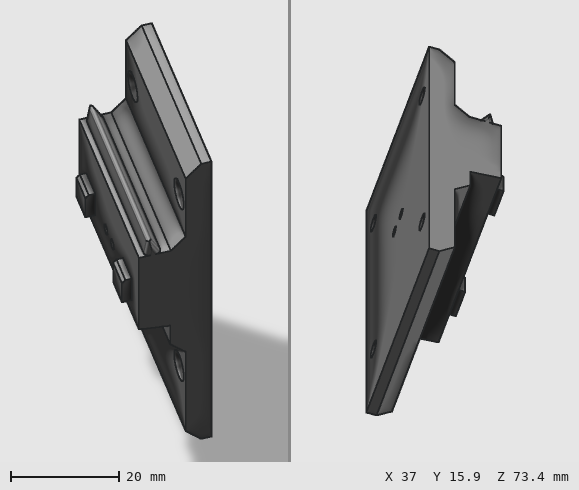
import cadquery as cq

width = 37.0
height = 73.4
plate_depth = 5.0
edge_chamfer = 3.0

block_depth = 14.0
block_top_z = 52.05
block_bottom_front_z = 33.0
block_bottom_rear_z = 32.1
upper_slope_rise = 2.9
step_depth = 8.0
step_bottom_z = 27.2

lip_rear_depth = 9.6
lip_front_depth = 12.85
lip_apex_depth = 12.1
lip_apex_z = 56.5
lip_end_radius = 1.0
lip_tip_radius = 0.5

tab_width = 5.5
tab_offset_x = 11.34
tab_bottom_z = 36.4
tab_top_z = 42.15
tab_depth = 15.9
tab_chamfer = 0.65

screw_diameter = 3.3
countersink_diameter = 5.95
countersink_angle = 90
screw_spacing_x = 28.6
screw_spacing_z = 45.8
screw_center_z = 39.3
pin_diameter = 2.0
pin_spacing = 4.0
pin_z = 39.2


def across(points, length, center_x=0):
    """Extrude a (depth, height) outline along X, centred on center_x."""
    outline = [(-depth, z) for depth, z in points]
    return (
        cq.Workplane("YZ", origin=(center_x, 0, 0))
        .polyline(outline)
        .close()
        .extrude(length / 2, both=True)
    )


def make_body():
    return across(
        [
            (0, 0),
            (plate_depth - edge_chamfer, 0),
            (plate_depth, edge_chamfer),
            (plate_depth, step_bottom_z - (step_depth - plate_depth)),
            (step_depth, step_bottom_z),
            (step_depth, block_bottom_rear_z),
            (block_depth, block_bottom_front_z),
            (block_depth, block_top_z),
            (plate_depth + upper_slope_rise, block_top_z),
            (plate_depth, block_top_z + upper_slope_rise),
            (plate_depth, height - edge_chamfer),
            (plate_depth - edge_chamfer, height),
            (0, height),
        ],
        width,
    )


def make_lip():
    rear_base = (lip_rear_depth, block_top_z)
    front_base = (lip_front_depth, block_top_z)
    apex = (lip_apex_depth, lip_apex_z)
    lip = across([rear_base, front_base, apex], width)
    lip = lip.edges(">Z").fillet(lip_tip_radius)

    rear_prism = across([rear_base, (block_depth, block_top_z), (block_depth, lip_apex_z), apex], width)
    rear_prism = rear_prism.faces(">Y").edges("<X or >X").fillet(lip_end_radius)
    front_prism = across([(0, block_top_z), front_base, apex, (0, lip_apex_z)], width)
    front_prism = front_prism.faces("<Y").edges("<X or >X").fillet(lip_end_radius)
    return lip.intersect(rear_prism).intersect(front_prism)


def make_tab(center_x):
    return across(
        [
            (block_depth, tab_bottom_z),
            (tab_depth, tab_bottom_z),
            (tab_depth, tab_top_z - tab_chamfer),
            (tab_depth - tab_chamfer, tab_top_z),
            (block_depth, tab_top_z),
        ],
        tab_width,
        center_x,
    )


def drill_screw_holes(body):
    return (
        body.copyWorkplane(cq.Workplane("XZ", origin=(0, -plate_depth, screw_center_z)))
        .rarray(screw_spacing_x, screw_spacing_z, 2, 2)
        .cskHole(screw_diameter, countersink_diameter, countersink_angle, depth=plate_depth)
    )


def drill_pin_holes(body):
    return (
        body.copyWorkplane(cq.Workplane("XZ", origin=(0, -block_depth, pin_z)))
        .rarray(pin_spacing, 0.7, 2, 1)
        .hole(pin_diameter, depth=block_depth)
    )


result = make_body().union(make_lip())
for side in (-1, 1):
    result = result.union(make_tab(side * tab_offset_x))
result = drill_screw_holes(result)
result = drill_pin_holes(result)